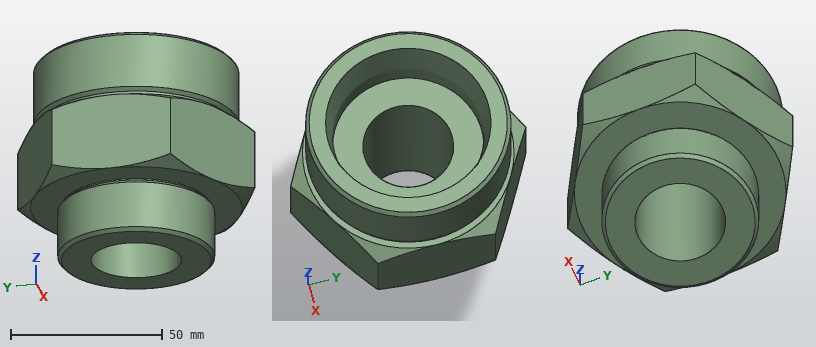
import cadquery as cq
import math

total_height = 68.0
hex_bottom = 18.9
hex_top = 45.1

hex_corner_diameter = 80.8
hex_flat_radius = hex_corner_diameter / 2 * math.cos(math.radians(30))
hex_chamfer_angle = 30.0

upper_radius = 68.0 / 2
upper_neck_radius = 65.55 / 2
upper_neck_height = 1.85
upper_chamfer = upper_radius - upper_neck_radius
lower_radius = 52.0 / 2
lower_neck_radius = 49.55 / 2
lower_neck_height = 0.5
lower_chamfer = lower_radius - lower_neck_radius

bore_radius = 30.0 / 2
socket_radius = 50.0 / 2
socket_mouth_radius = 54.7 / 2
cone_half_angle = 12.0
cone_depth = (socket_mouth_radius - socket_radius) / math.tan(math.radians(cone_half_angle))
socket_depth = 17.9


def revolve_profile(points):
    """Revolve a closed (radius, height) outline around the Z axis."""
    return cq.Workplane("XZ").polyline(points).close().revolve(360, (0, 0, 0), (0, 1, 0))


def make_hexagon():
    """Hexagonal collar whose corners are trimmed by a cone at each face."""
    corner_radius = hex_corner_diameter / 2
    corner_drop = (corner_radius - hex_flat_radius) * math.tan(math.radians(hex_chamfer_angle))
    prism = (
        cq.Workplane("XY")
        .workplane(offset=hex_bottom)
        .polygon(6, hex_corner_diameter)
        .extrude(hex_top - hex_bottom)
        .rotate((0, 0, 0), (0, 0, 1), 90)
    )
    trimming_body = revolve_profile([
        (0, hex_bottom),
        (hex_flat_radius, hex_bottom),
        (corner_radius, hex_bottom + corner_drop),
        (corner_radius, hex_top - corner_drop),
        (hex_flat_radius, hex_top),
        (0, hex_top),
    ])
    return prism.intersect(trimming_body)


def make_ends():
    """Both cylindrical ends with their necks and chamfers."""
    lower_neck_bottom = hex_bottom - lower_neck_height
    upper_neck_top = hex_top + upper_neck_height
    return revolve_profile([
        (0, 0),
        (lower_radius - lower_chamfer, 0),
        (lower_radius, lower_chamfer),
        (lower_radius, lower_neck_bottom - lower_chamfer),
        (lower_neck_radius, lower_neck_bottom),
        (lower_neck_radius, hex_bottom),
        (upper_neck_radius, hex_top),
        (upper_neck_radius, upper_neck_top),
        (upper_radius, upper_neck_top + upper_chamfer),
        (upper_radius, total_height - upper_chamfer),
        (upper_radius - upper_chamfer, total_height),
        (0, total_height),
    ])


def make_cavity():
    """Through bore opening into a cylindrical socket with a conical mouth."""
    socket_floor = total_height - socket_depth
    return revolve_profile([
        (0, 0),
        (bore_radius, 0),
        (bore_radius, socket_floor),
        (socket_radius, socket_floor),
        (socket_radius, total_height - cone_depth),
        (socket_mouth_radius, total_height),
        (0, total_height),
    ])


result = make_ends().union(make_hexagon()).cut(make_cavity())